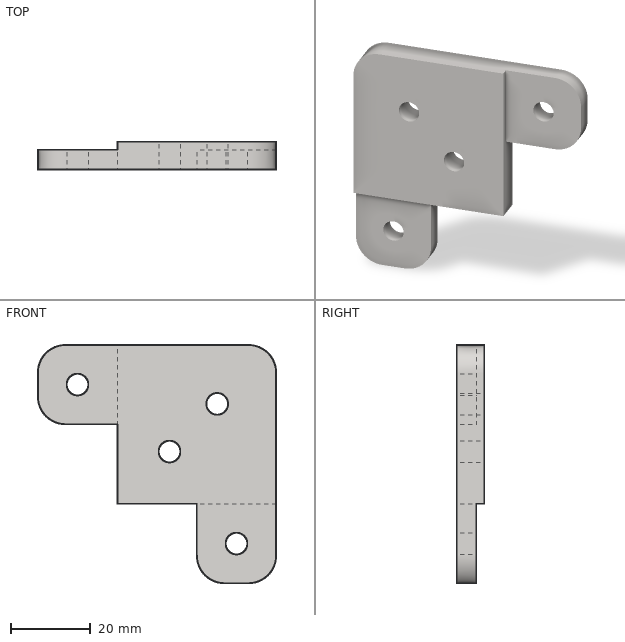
import cadquery as cq

side = 60.0
arm_width = 20.0
block_side = 40.0
arm_thickness = 5.0
block_thickness = 7.0
corner_radius = 7.0
hole_diameter = 5.4

outer_hole_setback = 14.85
inner_hole_setback = 26.85

arm_hole_setback = arm_width / 2


def rounded_plate(width, height, thickness, rounded_edges):
    """Plate with its front face on Y = 0 and its outer corner at (side, side)."""
    plate = cq.Workplane("XY").box(width, thickness, height, centered=False)
    plate = plate.translate((side - width, 0, side - height))
    return plate.edges(rounded_edges).fillet(corner_radius)


def make_body():
    left_arm = rounded_plate(side, arm_width, arm_thickness, "|Y and (<X or (>X and >Z))")
    lower_arm = rounded_plate(arm_width, side, arm_thickness, "|Y and (<Z or (>X and >Z))")
    block = rounded_plate(block_side, block_side, block_thickness, "|Y and >X and >Z")
    return block.union(left_arm).union(lower_arm)


def make_holes():
    centres = [
        (arm_hole_setback, side - arm_hole_setback),
        (side - arm_hole_setback, arm_hole_setback),
        (side - outer_hole_setback, side - outer_hole_setback),
        (side - inner_hole_setback, side - inner_hole_setback),
    ]
    return cq.Workplane("XZ").pushPoints(centres).circle(hole_diameter / 2).extrude(-block_thickness)


result = make_body().cut(make_holes())